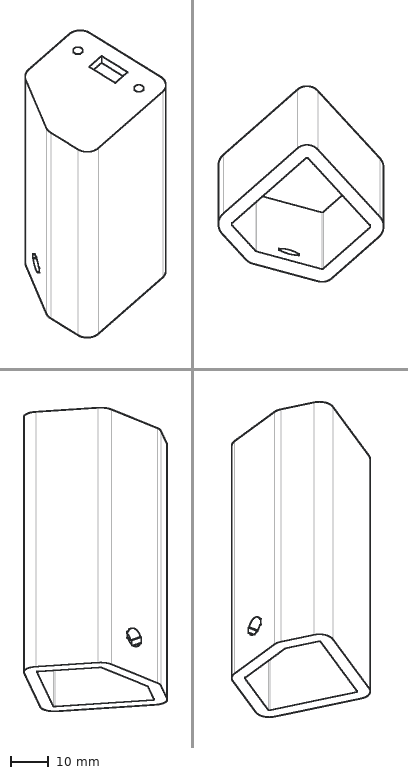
import cadquery as cq
import math

width = 32.15
depth = 33.95
height = 72.4
corner_radius = 3.85

slant_left_y = 11.4
slant_front_x = 17.8
slant_length = math.hypot(slant_front_x, slant_left_y)

wall = 3.5
top_thickness = 2.7

switch_width = 9.0
switch_depth = 5.1
switch_y = depth - 6.9
screw_diameter = 2.5
screw_spacing = 21.0

cable_diameter = 5.1
cable_slot_width = 5.5
cable_slot_height = 1.75
cable_x = 9.35
cable_y = slant_left_y * (1 - cable_x / slant_front_x)
cable_z = 10.3
cable_cut_depth = 2 * wall


def make_body():
    """Five-sided block with rounded upright edges."""
    outline = [
        (0, slant_left_y),
        (slant_front_x, 0),
        (width, 0),
        (width, depth),
        (0, depth),
    ]
    block = cq.Workplane("XY").polyline(outline).close().extrude(height)
    return block.edges("|Z").fillet(corner_radius)


def make_cavity(body):
    """Block inside the body at an even wall thickness, stopping below the top plate."""
    outline = body.faces("<Z").wires().toPending().offset2D(-wall)
    return outline.extrude(height - top_thickness, combine=False)


def make_top_openings():
    """Switch opening and screw holes through the top plate."""
    top = cq.Workplane("XY", origin=(width / 2, switch_y, height))
    switch = top.rect(switch_width, switch_depth).extrude(-top_thickness)
    screws = (
        top.pushPoints([(-screw_spacing / 2, 0), (screw_spacing / 2, 0)])
        .circle(screw_diameter / 2)
        .extrude(-top_thickness)
    )
    return switch.union(screws)


def make_cable_hole():
    """Slotted round hole running inward from the slanted face."""
    slanted_face = cq.Plane(
        origin=(cable_x, cable_y, cable_z),
        xDir=(slant_front_x / slant_length, -slant_left_y / slant_length, 0),
        normal=(-slant_left_y / slant_length, -slant_front_x / slant_length, 0),
    )
    face = cq.Workplane(slanted_face)
    bore = face.circle(cable_diameter / 2).extrude(-cable_cut_depth)
    slot = face.rect(cable_slot_width, cable_slot_height).extrude(-cable_cut_depth)
    return bore.union(slot)


body = make_body()
result = body.cut(make_cavity(body)).cut(make_top_openings()).cut(make_cable_hole())